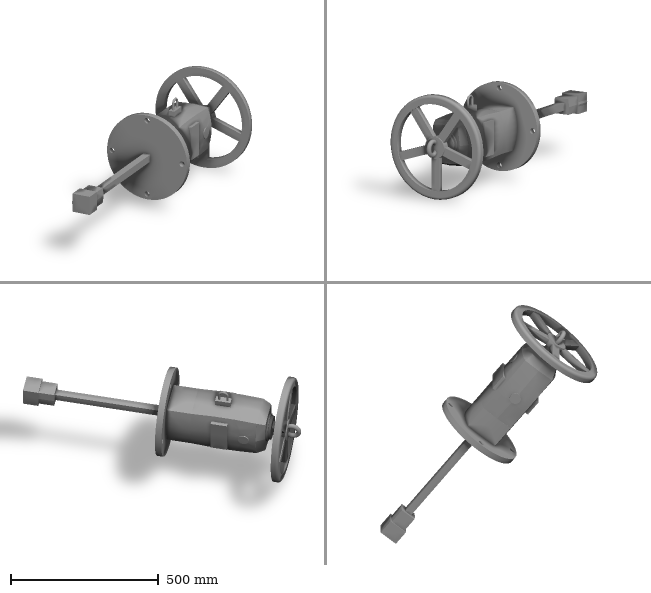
import cadquery as cq


FLANGE_DIAMETER = 305.0
FLANGE_THICKNESS = 22.0
BOLT_CIRCLE_DIAMETER = 267.0
BOLT_HOLE_DIAMETER = 19.0
BOLT_HOLE_COUNT = 4

HOUSING_SIDE_X = 73.0
HOUSING_EDGE_X = 58.5
NECK_EDGE_Z = 74.3
NECK_CROWN_Z = 78.0
SWELL_START_Y = 107.0
SWELL_END_Y = 331.0
SWELL_MIDDLE_Y = 0.5 * (SWELL_START_Y + SWELL_END_Y)
SWELL_CROWN_Z = 78.5
SWELL_MIDDLE_EDGE_Z = 79.0
SWELL_MIDDLE_CROWN_Z = 84.8
HOUSING_END_Y = 360.0
END_SIDE_X = 57.0
END_EDGE_X = 49.0
END_EDGE_Z = 63.0
END_CROWN_Z = 67.0

BASE_DISC_DIAMETER = 95.0
BASE_DISC_END_Y = 366.0
CAP_DISC_DIAMETER = 82.0
CAP_DISC_END_Y = 375.0
BLOCK_WIDTH = 32.5
BLOCK_END_Y = 400.0

WHEEL_DIAMETER = 360.0
WHEEL_START_Y = 405.0
WHEEL_THICKNESS = 24.5
WHEEL_EDGE_FILLET = 9.5
WHEEL_INNER_DIAMETER = 300.0
SPOKE_COUNT = 5
SPOKE_WIDTH = 30.0
SPOKE_THICKNESS = 20.0
FIRST_SPOKE_ANGLE = -90.0
HUB_DIAMETER = 76.0

EYE_WIRE_DIAMETER = 16.0
EYE_OUTER_DIAMETER = 62.0
EYE_TOP_Y = 473.17

COUPLING_END_Y = -480.0
SHAFT_WIDTH = 25.4
COUPLING_LENGTH = 53.5
INNER_COUPLING_HEIGHT = 54.0
INNER_COUPLING_FACE_WIDTH = 54.0
INNER_COUPLING_RIDGE_WIDTH = 60.0
OUTER_COUPLING_WIDTH = 66.0
KEY_RIDGE_HEIGHT = 2.0
KEY_RIDGE_HALF_WIDTH = 7.5

FITTINGS_Y = 205.0
SIDE_PLATE_LENGTH = 56.0
SIDE_PLATE_HEIGHT = 119.0
SIDE_PLATE_X = 77.0
PADLOCK_LENGTH = 53.0
PADLOCK_WIDTH = 21.5
PADLOCK_TOP_Z = 105.0
SHACKLE_WIRE_DIAMETER = 8.0
SHACKLE_OUTER_WIDTH = 36.0
SHACKLE_TOP_Z = 143.5
BUTTON_DIAMETER = 38.0
SIDE_BUTTON_Y = 289.0
SIDE_BUTTON_X = 75.5
BOTTOM_BUTTON_Z = 87.0


def plane_at(y):
    """Sketch plane across the main axis: local x is -X, local y is Z, normal is +Y."""
    return cq.Plane(origin=(0, y, 0), xDir=(-1, 0, 0), normal=(0, 1, 0))


def cylinder(diameter, start_y, end_y):
    return cq.Workplane(plane_at(start_y)).circle(diameter / 2).extrude(end_y - start_y)


def square_bar(width, start_y, end_y):
    return cq.Workplane(plane_at(start_y)).rect(width, width).extrude(end_y - start_y)


def make_flange():
    flange = cylinder(FLANGE_DIAMETER, 0, FLANGE_THICKNESS)
    holes = (
        cq.Workplane(plane_at(0))
        .polarArray(BOLT_CIRCLE_DIAMETER / 2, 0, 360, BOLT_HOLE_COUNT)
        .circle(BOLT_HOLE_DIAMETER / 2)
        .extrude(FLANGE_THICKNESS)
    )
    return flange.cut(holes)


def ridged_section(y, side_x, edge_x, edge_z, crown_z):
    """Wire with a ridge at the middle of top and bottom and one arc on each side."""
    return (
        cq.Workplane(plane_at(y))
        .moveTo(edge_x, -edge_z)
        .threePointArc((side_x, 0), (edge_x, edge_z))
        .lineTo(0, crown_z)
        .lineTo(-edge_x, edge_z)
        .threePointArc((-side_x, 0), (-edge_x, -edge_z))
        .lineTo(0, -crown_z)
        .close()
        .val()
    )


def split_side_section(y, side_x, edge_x, edge_z, crown_z):
    """Eight-sided wire with a ridge at the middle of every side."""
    return (
        cq.Workplane(plane_at(y))
        .polyline([
            (edge_x, -edge_z),
            (side_x, 0),
            (edge_x, edge_z),
            (0, crown_z),
            (-edge_x, edge_z),
            (-side_x, 0),
            (-edge_x, -edge_z),
            (0, -crown_z),
        ])
        .close()
        .val()
    )


def make_neck():
    """Straight part of the housing, with arcs on all four sides."""
    return (
        cq.Workplane(plane_at(FLANGE_THICKNESS))
        .moveTo(HOUSING_EDGE_X, -NECK_EDGE_Z)
        .threePointArc((HOUSING_SIDE_X, 0), (HOUSING_EDGE_X, NECK_EDGE_Z))
        .threePointArc((0, NECK_CROWN_Z), (-HOUSING_EDGE_X, NECK_EDGE_Z))
        .threePointArc((-HOUSING_SIDE_X, 0), (-HOUSING_EDGE_X, -NECK_EDGE_Z))
        .threePointArc((0, -NECK_CROWN_Z), (HOUSING_EDGE_X, -NECK_EDGE_Z))
        .close()
        .extrude(SWELL_START_Y - FLANGE_THICKNESS)
    )


def make_swell():
    sections = [
        ridged_section(y, HOUSING_SIDE_X, HOUSING_EDGE_X, edge_z, crown_z)
        for y, edge_z, crown_z in [
            (SWELL_START_Y, NECK_EDGE_Z, SWELL_CROWN_Z),
            (SWELL_MIDDLE_Y, SWELL_MIDDLE_EDGE_Z, SWELL_MIDDLE_CROWN_Z),
            (SWELL_END_Y, NECK_EDGE_Z, SWELL_CROWN_Z),
        ]
    ]
    return cq.Workplane(cq.Solid.makeLoft(sections))


def make_tapered_end():
    start = split_side_section(SWELL_END_Y, HOUSING_SIDE_X, HOUSING_EDGE_X, NECK_EDGE_Z, SWELL_CROWN_Z)
    end = split_side_section(HOUSING_END_Y, END_SIDE_X, END_EDGE_X, END_EDGE_Z, END_CROWN_Z)
    return cq.Workplane(cq.Solid.makeLoft([start, end], True))


def make_end_stack():
    base = cylinder(BASE_DISC_DIAMETER, HOUSING_END_Y, BASE_DISC_END_Y)
    cap = cylinder(CAP_DISC_DIAMETER, BASE_DISC_END_Y, CAP_DISC_END_Y)
    block = square_bar(BLOCK_WIDTH, CAP_DISC_END_Y, BLOCK_END_Y)
    return base.union(cap).union(block)


def make_handwheel():
    rim = (
        cylinder(WHEEL_DIAMETER, WHEEL_START_Y, WHEEL_START_Y + WHEEL_THICKNESS)
        .faces(">Y")
        .edges()
        .fillet(WHEEL_EDGE_FILLET)
        .cut(cylinder(WHEEL_INNER_DIAMETER, WHEEL_START_Y, WHEEL_START_Y + WHEEL_THICKNESS))
    )
    spoke_length = (WHEEL_DIAMETER + WHEEL_INNER_DIAMETER) / 4
    spoke = cq.Workplane("XY").box(
        spoke_length, SPOKE_THICKNESS, SPOKE_WIDTH, centered=(False, False, True)
    )
    wheel = rim.union(cylinder(HUB_DIAMETER, WHEEL_START_Y, WHEEL_START_Y + WHEEL_THICKNESS))
    for index in range(SPOKE_COUNT):
        angle = FIRST_SPOKE_ANGLE + index * 360 / SPOKE_COUNT
        turned = spoke.rotate((0, 0, 0), (0, 1, 0), -angle)
        wheel = wheel.union(turned.translate((0, WHEEL_START_Y, 0)))
    return wheel


def make_eye_bolt():
    ring_radius = (EYE_OUTER_DIAMETER - EYE_WIRE_DIAMETER) / 2
    ring_center_y = EYE_TOP_Y - EYE_OUTER_DIAMETER / 2
    ring = cq.Workplane(
        cq.Solid.makeTorus(
            ring_radius, EYE_WIRE_DIAMETER / 2, cq.Vector(0, ring_center_y, 0), cq.Vector(1, 0, 0)
        )
    )
    shank = cylinder(EYE_WIRE_DIAMETER, BLOCK_END_Y, ring_center_y - ring_radius)
    return ring.union(shank)


def make_shaft():
    return square_bar(SHAFT_WIDTH, COUPLING_END_Y + 2 * COUPLING_LENGTH, 0)


def make_inner_coupling():
    """Coupling whose two X sides come to a shallow ridge."""
    half_height = INNER_COUPLING_HEIGHT / 2
    half_face = INNER_COUPLING_FACE_WIDTH / 2
    half_ridge = INNER_COUPLING_RIDGE_WIDTH / 2
    return (
        cq.Workplane(plane_at(COUPLING_END_Y + COUPLING_LENGTH))
        .polyline([
            (half_face, -half_height),
            (half_ridge, 0),
            (half_face, half_height),
            (-half_face, half_height),
            (-half_ridge, 0),
            (-half_face, -half_height),
        ])
        .close()
        .extrude(COUPLING_LENGTH)
    )


def make_outer_coupling():
    """Square coupling with a low key ridge along its -X side."""
    half_width = OUTER_COUPLING_WIDTH / 2
    end = COUPLING_END_Y + COUPLING_LENGTH
    ridge = (
        cq.Workplane(plane_at(COUPLING_END_Y))
        .polyline([
            (0, 0),
            (half_width, -KEY_RIDGE_HALF_WIDTH),
            (half_width + KEY_RIDGE_HEIGHT, 0),
            (half_width, KEY_RIDGE_HALF_WIDTH),
        ])
        .close()
        .extrude(COUPLING_LENGTH)
    )
    return square_bar(OUTER_COUPLING_WIDTH, COUPLING_END_Y, end).union(ridge)


def make_side_plates():
    """One block through the housing, showing as a raised plate on each X side."""
    return (
        cq.Workplane("XY")
        .box(2 * SIDE_PLATE_X, SIDE_PLATE_LENGTH, SIDE_PLATE_HEIGHT)
        .translate((0, FITTINGS_Y, 0))
    )


def make_padlock():
    body = (
        cq.Workplane("XY")
        .box(PADLOCK_WIDTH, PADLOCK_LENGTH, PADLOCK_TOP_Z, centered=(True, True, False))
        .translate((0, FITTINGS_Y, 0))
    )
    bend_radius = (SHACKLE_OUTER_WIDTH - SHACKLE_WIRE_DIAMETER) / 2
    bend_z = SHACKLE_TOP_Z - SHACKLE_OUTER_WIDTH / 2
    path = (
        cq.Workplane("YZ")
        .moveTo(FITTINGS_Y - bend_radius, PADLOCK_TOP_Z)
        .lineTo(FITTINGS_Y - bend_radius, bend_z)
        .threePointArc((FITTINGS_Y, bend_z + bend_radius), (FITTINGS_Y + bend_radius, bend_z))
        .lineTo(FITTINGS_Y + bend_radius, PADLOCK_TOP_Z)
    )
    shackle = (
        cq.Workplane("XY", origin=(0, FITTINGS_Y - bend_radius, PADLOCK_TOP_Z))
        .circle(SHACKLE_WIRE_DIAMETER / 2)
        .sweep(path)
    )
    return body.union(shackle)


def make_buttons():
    """Round buttons standing out of the +X side and the underside of the housing."""
    side = (
        cq.Workplane("YZ").center(SIDE_BUTTON_Y, 0).circle(BUTTON_DIAMETER / 2).extrude(SIDE_BUTTON_X)
    )
    bottom = (
        cq.Workplane("XY").center(0, FITTINGS_Y).circle(BUTTON_DIAMETER / 2).extrude(-BOTTOM_BUTTON_Z)
    )
    return side.union(bottom)


result = make_flange()
for feature in [
    make_neck(),
    make_swell(),
    make_tapered_end(),
    make_end_stack(),
    make_handwheel(),
    make_eye_bolt(),
    make_shaft(),
    make_inner_coupling(),
    make_outer_coupling(),
    make_side_plates(),
    make_padlock(),
    make_buttons(),
]:
    result = result.union(feature)